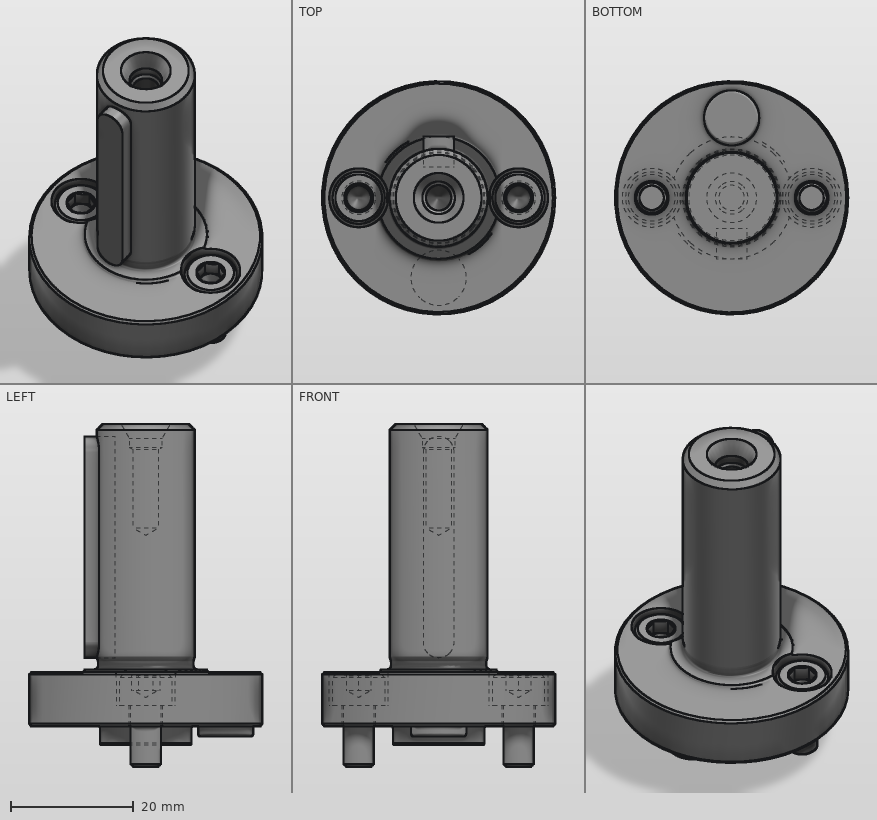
import cadquery as cq
import math

flange_diameter = 38.0
flange_thickness = 8.85
flange_top_chamfer = 0.4
flange_bottom_chamfer_width = 0.35
flange_bottom_chamfer_height = 0.5
collar_base_diameter = 20.8
collar_height = 0.45
pilot_diameter = 15.0
pilot_length = 3.0
pilot_chamfer_width = 0.15
pilot_chamfer_height = 0.3
pilot_root_fillet = 0.15

shaft_diameter = 16.0
shaft_length = 40.0
shaft_chamfer = 1.0
neck_diameter = 15.6
neck_length = 1.25
neck_fillet = 0.6
neck_ramp_angle = 15.0

center_countersink_diameter = 8.1
center_bore_diameter = 5.3
center_bore_depth = 3.85
center_drill_diameter = 4.15
center_drill_depth = 17.0
countersink_half_angle = 30.0
drill_half_angle = 60.0

bolt_circle_radius = 13.0
boss_diameter = 9.0
boss_height = 1.7
boss_fillet = 0.5

key_width = 5.0
key_height = 5.0
key_length = 36.05
key_outer_face = 10.0
key_end_gap = 2.05

screw_head_diameter = 8.5
screw_head_height = 5.0
screw_head_chamfer = 0.45
screw_head_recess = 0.45
screw_shank_diameter = 5.0
screw_shank_length = 10.0
screw_tip_chamfer = 0.5
socket_sides = 6
socket_flats = 4.0
socket_depth = 2.5
socket_mouth_diameter = 4.7
counterbore_diameter = 9.6
clearance_diameter = 5.5

collar_face = flange_thickness + collar_height
shaft_end = collar_face + shaft_length
screw_head_top = flange_thickness - screw_head_recess
screw_head_seat = screw_head_top - screw_head_height
screw_places = [(-bolt_circle_radius, 0), (bolt_circle_radius, 0)]


def cone_height(large_diameter, small_diameter, half_angle):
    """Axial length of a cone between two diameters."""
    return (large_diameter - small_diameter) / 2 / math.tan(math.radians(half_angle))


def revolve_profile(profile):
    """Turn a profile drawn as (radius, height) around the Z axis."""
    return profile.close().revolve(360, (0, 0, 0), (0, 1, 0))


def make_turned_body():
    """Pilot, flange, collar, neck and shaft as one turned profile."""
    flange_radius = flange_diameter / 2
    pilot_radius = pilot_diameter / 2
    collar_radius = collar_base_diameter / 2
    neck_radius = neck_diameter / 2
    shaft_radius = shaft_diameter / 2
    neck_top = collar_face + neck_length
    ramp_angle = math.radians(neck_ramp_angle)
    ramp_foot_radius = neck_radius + neck_fillet * (1 - math.cos(ramp_angle))
    ramp_foot = neck_top + neck_fillet * math.sin(ramp_angle)
    ramp_end = ramp_foot + cone_height(shaft_diameter, 2 * ramp_foot_radius, neck_ramp_angle)

    profile = (
        cq.Workplane("XZ")
        .moveTo(0, -pilot_length)
        .lineTo(pilot_radius - pilot_chamfer_width, -pilot_length)
        .lineTo(pilot_radius, pilot_chamfer_height - pilot_length)
        .lineTo(pilot_radius, -pilot_root_fillet)
        .radiusArc((pilot_radius + pilot_root_fillet, 0), pilot_root_fillet)
        .lineTo(flange_radius - flange_bottom_chamfer_width, 0)
        .lineTo(flange_radius, flange_bottom_chamfer_height)
        .lineTo(flange_radius, flange_thickness - flange_top_chamfer)
        .lineTo(flange_radius - flange_top_chamfer, flange_thickness)
        .lineTo(collar_radius, flange_thickness)
        .radiusArc((collar_radius - collar_height, collar_face), collar_height)
        .lineTo(neck_radius + neck_fillet, collar_face)
        .radiusArc((neck_radius, collar_face + neck_fillet), neck_fillet)
        .lineTo(neck_radius, neck_top)
        .radiusArc((ramp_foot_radius, ramp_foot), neck_fillet)
        .lineTo(shaft_radius, ramp_end)
        .lineTo(shaft_radius, shaft_end - shaft_chamfer)
        .lineTo(shaft_radius - shaft_chamfer, shaft_end)
        .lineTo(0, shaft_end)
    )
    return revolve_profile(profile)


def make_center_hole():
    """Countersunk, stepped blind hole with a conical floor."""
    countersink_depth = cone_height(
        center_countersink_diameter, center_bore_diameter, countersink_half_angle
    )
    shoulder_length = cone_height(center_bore_diameter, center_drill_diameter, drill_half_angle)
    tip_length = cone_height(center_drill_diameter, 0, drill_half_angle)
    profile = (
        cq.Workplane("XZ")
        .moveTo(0, shaft_end)
        .lineTo(center_countersink_diameter / 2, shaft_end)
        .lineTo(center_bore_diameter / 2, shaft_end - countersink_depth)
        .lineTo(center_bore_diameter / 2, shaft_end - center_bore_depth)
        .lineTo(center_drill_diameter / 2, shaft_end - center_bore_depth - shoulder_length)
        .lineTo(center_drill_diameter / 2, shaft_end - center_drill_depth)
        .lineTo(0, shaft_end - center_drill_depth - tip_length)
    )
    return revolve_profile(profile)


def make_boss():
    """Round locating boss on the lower face, level with the bolt circle."""
    return (
        cq.Workplane("XY")
        .center(0, -bolt_circle_radius)
        .circle(boss_diameter / 2)
        .extrude(-boss_height)
        .faces("<Z").edges().fillet(boss_fillet)
    )


def make_key():
    """Round-ended key standing on the +Y side of the shaft."""
    middle = shaft_end - key_end_gap - key_length / 2
    return (
        cq.Workplane("XZ", origin=(0, key_outer_face, middle))
        .slot2D(key_length, key_width, 90)
        .extrude(key_height)
    )


def make_screw_holes():
    """Counterbored clearance holes through the flange and the collar edge."""
    clearance = (
        cq.Workplane("XY")
        .pushPoints(screw_places)
        .circle(clearance_diameter / 2)
        .extrude(flange_thickness)
    )
    counterbores = (
        cq.Workplane("XY", origin=(0, 0, screw_head_seat))
        .pushPoints(screw_places)
        .circle(counterbore_diameter / 2)
        .extrude(collar_face - screw_head_seat)
    )
    return clearance.union(counterbores)


def make_socket():
    """Hexagon socket with a conical floor and a lightly countersunk mouth."""
    half_side_angle = 180 / socket_sides
    corner_diameter = socket_flats / math.cos(math.radians(half_side_angle))
    floor = screw_head_top - socket_depth
    hexagon = (
        cq.Workplane("XY", origin=(0, 0, floor))
        .polygon(socket_sides, corner_diameter)
        .extrude(socket_depth)
        .rotate((0, 0, 0), (0, 0, 1), half_side_angle)
    )
    tip = revolve_profile(
        cq.Workplane("XZ")
        .moveTo(0, floor)
        .lineTo(socket_flats / 2, floor)
        .lineTo(0, floor - cone_height(socket_flats, 0, drill_half_angle))
    )
    mouth = revolve_profile(
        cq.Workplane("XZ")
        .moveTo(0, screw_head_top)
        .lineTo(socket_mouth_diameter / 2, screw_head_top)
        .lineTo(0, screw_head_top - cone_height(socket_mouth_diameter, 0, drill_half_angle))
    )
    return hexagon.union(tip).union(mouth)


def make_screw(place):
    """Socket head screw moved to its place on the bolt circle."""
    head = (
        cq.Workplane("XY", origin=(0, 0, screw_head_seat))
        .circle(screw_head_diameter / 2)
        .extrude(screw_head_height)
        .faces(">Z").edges().chamfer(screw_head_chamfer)
    )
    shank = (
        cq.Workplane("XY", origin=(0, 0, screw_head_seat))
        .circle(screw_shank_diameter / 2)
        .extrude(-screw_shank_length)
        .faces("<Z").edges().chamfer(screw_tip_chamfer)
    )
    x, y = place
    return head.union(shank).cut(make_socket()).translate((x, y, 0))


key = make_key()
flanged_shaft = (
    make_turned_body()
    .union(make_boss())
    .cut(make_center_hole())
    .cut(make_screw_holes())
    .cut(key)
)
screws = [make_screw(place) for place in screw_places]

result = cq.Compound.makeCompound([flanged_shaft.val(), key.val(), *[screw.val() for screw in screws]])